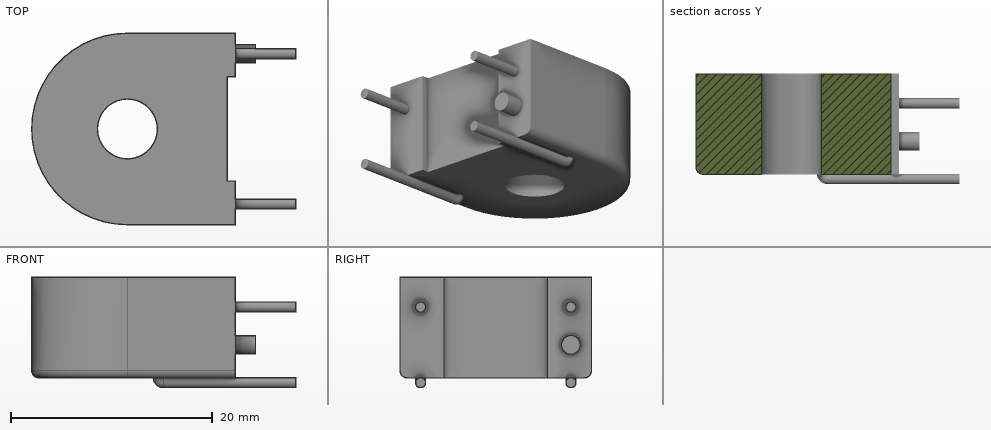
import cadquery as cq
import math

body_width = 19.0
body_length = 20.2
body_height = 10.0
bottom_fillet = 0.75
bore_diameter = 5.9

recess_depth = 0.8
recess_width = 10.3

pin_diameter = 1.0
pin_length = 6.0
pin_row_offset = 7.45
lower_pin_z = -0.46
pin_row_pitch = 7.5
elbow_start = 12.55
elbow_radius = 0.51
pin_embed = 2.0
peg_diameter = 1.85
peg_length = 2.0

end_radius = body_width / 2
face_x = body_length - end_radius
pin_tip_x = face_x + pin_length
upper_pin_z = lower_pin_z + pin_row_pitch
peg_z = (upper_pin_z + lower_pin_z) / 2


def housing():
    block = (
        cq.Workplane("XY")
        .moveTo(face_x, -end_radius)
        .lineTo(0, -end_radius)
        .threePointArc((-end_radius, 0), (0, end_radius))
        .lineTo(face_x, end_radius)
        .close()
        .extrude(body_height)
    )
    block = block.faces("<Z").edges("not(>X)").fillet(bottom_fillet)
    recess = cq.Workplane("XY").box(
        2 * recess_depth, recess_width, body_height, centered=(True, True, False)
    )
    bore = cq.Workplane("XY").circle(bore_diameter / 2).extrude(body_height)
    return block.cut(recess.translate((face_x, 0, 0))).cut(bore)


def rod_from_face(diameter, length, y, z):
    """Round rod anchored inside the housing and projecting from its flat face."""
    return (
        cq.Workplane("YZ", origin=(face_x - pin_embed, y, z))
        .circle(diameter / 2)
        .extrude(pin_embed + length)
    )


def bent_pin(y):
    """Pin that leaves the housing floor, turns and runs along it toward +X."""
    leg_x = elbow_start - end_radius
    bend_center_z = lower_pin_z + elbow_radius
    mid_inset = elbow_radius * (1 - math.cos(math.radians(45)))
    path = (
        cq.Workplane("XZ", origin=(0, y, 0))
        .moveTo(leg_x, pin_embed)
        .lineTo(leg_x, bend_center_z)
        .threePointArc(
            (leg_x + mid_inset, lower_pin_z + mid_inset),
            (leg_x + elbow_radius, lower_pin_z),
        )
        .lineTo(pin_tip_x, lower_pin_z)
    )
    return (
        cq.Workplane("XY", origin=(leg_x, y, pin_embed))
        .circle(pin_diameter / 2)
        .sweep(path)
    )


result = housing()
for pin_y in (-pin_row_offset, pin_row_offset):
    result = result.union(bent_pin(pin_y))
    result = result.union(rod_from_face(pin_diameter, pin_length, pin_y, upper_pin_z))
result = result.union(rod_from_face(peg_diameter, peg_length, pin_row_offset, peg_z))